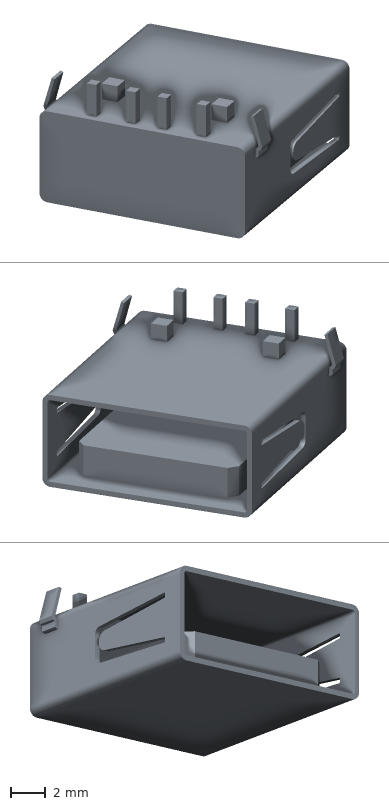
import cadquery as cq

LENGTH = 14.05
WIDTH = 13.12
HEIGHT = 5.72
CORNER_RADIUS = 0.5
WALL = 0.32
CAVITY_DEPTH = 9.84
REAR_Y = LENGTH / 2
FRONT_Y = -LENGTH / 2
CAVITY_END_Y = REAR_Y - CAVITY_DEPTH

TONGUE_WIDTH = 10.0
TONGUE_BOTTOM = 0.53
TONGUE_TOP = 2.37
TONGUE_SETBACK = 1.24
TONGUE_CHAMFER = 0.5

PIN_SIZE = 0.59
PIN_HEIGHT = 2.0
PIN_INSET = 0.8
POST_CENTER_X = 0.03
INNER_PIN_X = 1.0
OUTER_PIN_X = 3.5
PEG_SIZE = 1.0
PEG_HEIGHT = 1.0
PEG_INSET = 3.43

SLOT_START = 1.38
SLOT_END = 7.95
SLOT_TOP_START = 4.37
SLOT_TOP_END = 3.78
SLOT_BOTTOM_START = 1.35
SLOT_BOTTOM_END = 1.62
SLOT_CORNER_RADIUS = 0.44
SLOT_TIP_RADIUS = 0.11
FINGER_LEVEL = HEIGHT / 2
FINGER_ROOT_HALF = 1.2
FINGER_TIP_RADIUS = 0.6
FINGER_TIP = 7.59

CLIP_WIDTH = 1.2
CLIP_INSET = 2.01
OVERALL_WIDTH = 13.97
CLIP_REACH = (OVERALL_WIDTH - WIDTH) / 2
CLIP_THICKNESS = 0.2

CLIP_FOOT = -1.12
CLIP_FOOT_BEVEL = 0.11
CLIP_STEP = -0.66
CLIP_STEP_RISE = 0.07
CLIP_STEP_REACH = 0.34
CLIP_KNEE = -0.38
CLIP_TIP_OUTER_X = 0.11
CLIP_TIP_OUTER_Z = 1.48
CLIP_TIP_INNER_X = 0.3
CLIP_TIP_INNER_Z = 1.42
CLIP_INNER_KNEE_REACH = 0.18
CLIP_INNER_KNEE = -0.37
CLIP_INNER_ROOT = -0.59


def make_shell():
    body = cq.Workplane("XY").box(WIDTH, LENGTH, HEIGHT, centered=(True, True, False))
    body = body.edges("|Y").fillet(CORNER_RADIUS)
    cavity = (
        cq.Workplane("XY", origin=(0, CAVITY_END_Y, WALL))
        .box(WIDTH - 2 * WALL, CAVITY_DEPTH, HEIGHT - 2 * WALL, centered=(True, False, False))
        .edges("|Y")
        .fillet(CORNER_RADIUS - WALL)
    )
    return body.cut(cavity)


def make_slots():
    """U-shaped cut through both side walls that leaves a spring finger."""
    outline = (
        cq.Workplane("YZ")
        .moveTo(REAR_Y - SLOT_START, SLOT_BOTTOM_START)
        .lineTo(REAR_Y - SLOT_END, SLOT_BOTTOM_END)
        .lineTo(REAR_Y - SLOT_END, SLOT_TOP_END)
        .lineTo(REAR_Y - SLOT_START, SLOT_TOP_START)
        .close()
        .extrude(WIDTH / 2, both=True)
        .edges("|X and <Y")
        .fillet(SLOT_CORNER_RADIUS)
    )
    tip_center_y = REAR_Y - FINGER_TIP + FINGER_TIP_RADIUS
    finger = (
        cq.Workplane("YZ")
        .moveTo(REAR_Y - SLOT_START, FINGER_LEVEL - FINGER_ROOT_HALF)
        .lineTo(tip_center_y, FINGER_LEVEL - FINGER_TIP_RADIUS)
        .threePointArc(
            (REAR_Y - FINGER_TIP, FINGER_LEVEL),
            (tip_center_y, FINGER_LEVEL + FINGER_TIP_RADIUS),
        )
        .lineTo(REAR_Y - SLOT_START, FINGER_LEVEL + FINGER_ROOT_HALF)
        .close()
        .extrude(WIDTH / 2, both=True)
    )
    return outline.cut(finger).edges("|X and >Y").fillet(SLOT_TIP_RADIUS)


def make_tongue():
    tongue_length = CAVITY_DEPTH - TONGUE_SETBACK
    return (
        cq.Workplane("XY", origin=(0, CAVITY_END_Y, TONGUE_BOTTOM))
        .box(TONGUE_WIDTH, tongue_length, TONGUE_TOP - TONGUE_BOTTOM, centered=(True, False, False))
        .edges("|Z and >Y")
        .chamfer(TONGUE_CHAMFER)
    )


def make_posts(positions, size, height):
    """Square posts rising from the top face."""
    return (
        cq.Workplane("XY", origin=(0, 0, HEIGHT))
        .pushPoints(positions)
        .rect(size, size)
        .extrude(height)
    )


def make_clip():
    """Bent strip on the -X wall; offsets are from the wall and the top face."""
    offsets = [
        (0, CLIP_FOOT),
        (-CLIP_THICKNESS, CLIP_FOOT + CLIP_FOOT_BEVEL),
        (-CLIP_THICKNESS, CLIP_STEP),
        (-CLIP_STEP_REACH, CLIP_STEP + CLIP_STEP_RISE),
        (-CLIP_REACH, CLIP_KNEE),
        (CLIP_TIP_OUTER_X, CLIP_TIP_OUTER_Z),
        (CLIP_TIP_INNER_X, CLIP_TIP_INNER_Z),
        (-CLIP_INNER_KNEE_REACH, CLIP_INNER_KNEE),
        (0, CLIP_INNER_ROOT),
    ]
    points = [(x - WIDTH / 2, z + HEIGHT) for x, z in offsets]
    center_y = FRONT_Y + CLIP_INSET
    return (
        cq.Workplane("XZ", origin=(0, center_y, 0))
        .polyline(points)
        .close()
        .extrude(CLIP_WIDTH / 2, both=True)
    )


pin_y = FRONT_Y + PIN_INSET
peg_y = FRONT_Y + PEG_INSET
pin_offsets = (-OUTER_PIN_X, -INNER_PIN_X, INNER_PIN_X, OUTER_PIN_X)
peg_offsets = (-OUTER_PIN_X, OUTER_PIN_X)
pin_positions = [(POST_CENTER_X + offset, pin_y) for offset in pin_offsets]
peg_positions = [(POST_CENTER_X + offset, peg_y) for offset in peg_offsets]
left_clip = make_clip()

result = (
    make_shell()
    .cut(make_slots())
    .union(make_tongue())
    .union(make_posts(pin_positions, PIN_SIZE, PIN_HEIGHT))
    .union(make_posts(peg_positions, PEG_SIZE, PEG_HEIGHT))
    .union(left_clip)
    .union(left_clip.mirror("YZ"))
)